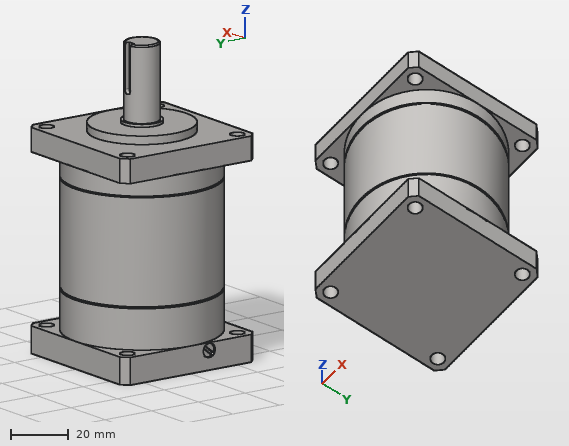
import cadquery as cq

flange_side = 57.0
total_height = 112.8

base_flange_top = 9.9
lower_groove_center = 25.0
upper_groove_bottom = 64.4
upper_groove_height = 0.5
top_flange_bottom = 72.1
top_flange_top = 80.9
pilot_top = 83.9
collar_top = 84.9

corner_chamfer = 2.6
bolt_spacing = 47.2
bolt_hole_diameter = 5.2

case_diameter = flange_side
square_groove_depth = 0.3
v_groove_depth = 0.3

pilot_diameter = 38.1
collar_diameter = 14.8
shaft_diameter = 12.6
shaft_chamfer = 0.6

key_width = 3.2
key_length = 18.0
key_floor_offset = 4.4

screw_diameter = 5.1
screw_y = -7.9
screw_z = 7.1
screw_recess = 0.8
screw_length = 5.0
slot_width = 1.0
slot_depth = 0.8
slot_angle = 40.0


def disc(diameter, bottom, top):
    """Cylinder on the gearbox axis between two heights."""
    return cq.Workplane("XY").workplane(offset=bottom).circle(diameter / 2).extrude(top - bottom)


def flange(bottom, top):
    """Square plate with chamfered corners and four through bolt holes."""
    return (
        cq.Workplane("XY")
        .workplane(offset=bottom)
        .rect(flange_side, flange_side)
        .extrude(top - bottom)
        .edges("|Z")
        .chamfer(corner_chamfer)
        .faces(">Z")
        .workplane()
        .rect(bolt_spacing, bolt_spacing, forConstruction=True)
        .vertices()
        .hole(bolt_hole_diameter)
    )


def square_groove():
    """Shallow square-section ring to remove from the outside of the case."""
    top = upper_groove_bottom + upper_groove_height
    ring = disc(case_diameter, upper_groove_bottom, top)
    return ring.cut(disc(case_diameter - 2 * square_groove_depth, upper_groove_bottom, top))


def v_groove():
    """Ring with a 45 degree V section to remove from the outside of the case."""
    case_radius = case_diameter / 2
    return (
        cq.Workplane("XZ")
        .moveTo(case_radius, lower_groove_center - v_groove_depth)
        .lineTo(case_radius - v_groove_depth, lower_groove_center)
        .lineTo(case_radius, lower_groove_center + v_groove_depth)
        .close()
        .revolve(360, (0, 0, 0), (0, 1, 0))
    )


def keyway():
    """Round-ended slot to remove from the +Y side of the shaft."""
    end_center_z = total_height - key_length + key_width / 2
    cut_depth = shaft_diameter / 2 - key_floor_offset
    straight_part = (
        cq.Workplane("XY")
        .box(key_width, cut_depth, total_height - end_center_z, centered=(True, False, False))
        .translate((0, key_floor_offset, end_center_z))
    )
    round_end = (
        cq.Workplane("XZ", origin=(0, key_floor_offset, end_center_z))
        .circle(key_width / 2)
        .extrude(-cut_depth)
    )
    return straight_part.union(round_end)


def screw_cylinder(start_depth, end_depth):
    """Cylinder on the screw axis between two depths below the -X side of the base flange."""
    start_x = -flange_side / 2 + start_depth
    return (
        cq.Workplane("YZ", origin=(start_x, screw_y, screw_z))
        .circle(screw_diameter / 2)
        .extrude(end_depth - start_depth)
    )


def make_shaft():
    """Output shaft with a chamfered end and a keyway."""
    shaft = disc(shaft_diameter, collar_top, total_height).faces(">Z").chamfer(shaft_chamfer)
    return shaft.cut(keyway())


def make_gearbox():
    """Flanged gearbox with its output shaft and the hole for the screw."""
    case = disc(case_diameter, base_flange_top, top_flange_bottom)
    case = case.cut(v_groove()).cut(square_groove())
    return (
        flange(0, base_flange_top)
        .union(case)
        .union(flange(top_flange_bottom, top_flange_top))
        .union(disc(pilot_diameter, top_flange_top, pilot_top))
        .union(disc(collar_diameter, pilot_top, collar_top))
        .union(make_shaft())
        .cut(screw_cylinder(0, screw_recess + screw_length))
    )


def make_screw():
    """Headless screw with a slanted driver slot in its outer end."""
    slot = (
        cq.Workplane("XY")
        .box(slot_depth, screw_diameter * 2, slot_width, centered=(False, True, True))
        .rotate((0, 0, 0), (1, 0, 0), slot_angle)
        .translate((-flange_side / 2 + screw_recess, screw_y, screw_z))
    )
    return screw_cylinder(screw_recess, screw_recess + screw_length).cut(slot)


gearbox = make_gearbox()
screw = make_screw()

result = cq.Compound.makeCompound([gearbox.val(), screw.val()])